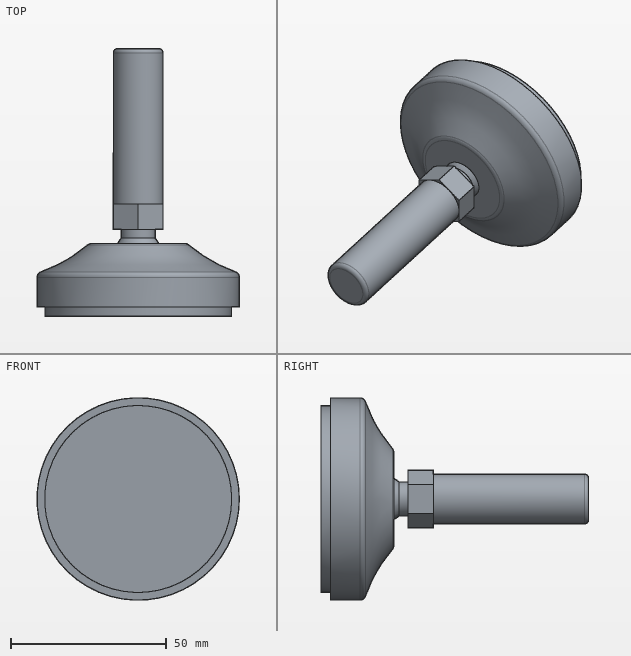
import cadquery as cq
import math

total_length = 86.0
stud_diameter = 16.0
stud_end_round = 1.4

hex_across_flats = stud_diameter
hex_start = 27.95
hex_end = 36.1

neck_diameter = 11.0
ball_diameter = 14.6
ball_center = 20.3

pad_diameter = 60.0
pad_height = 3.1
base_diameter = 65.0
rim_height = 12.55
rim_round = 1.9
rim_round_angle = 67.0

base_height = 23.5
top_flat_radius = 14.9
flank_top_radius = 16.25
flank_top_height = 23.0
flank_sag = 0.8


def along_y(start):
    """Workplane facing +Y at the given distance from the sole."""
    return cq.Workplane(cq.Plane((0, start, 0), xDir=(1, 0, 0), normal=(0, 1, 0)))


def cylinder(diameter, start, end):
    return along_y(start).circle(diameter / 2).extrude(end - start)


def make_base():
    """Revolved bell with a rounded rim and a slightly hollow flank."""
    rim_radius = base_diameter / 2

    def rim_point(angle):
        a = math.radians(angle)
        return (rim_radius - rim_round * (1 - math.cos(a)), rim_height + rim_round * math.sin(a))

    flank_start = rim_point(rim_round_angle)
    flank_end = (flank_top_radius, flank_top_height)
    run = flank_end[0] - flank_start[0]
    rise = flank_end[1] - flank_start[1]
    chord = math.hypot(run, rise)
    flank_middle = (
        (flank_start[0] + flank_end[0]) / 2 - flank_sag * rise / chord,
        (flank_start[1] + flank_end[1]) / 2 + flank_sag * run / chord,
    )
    crown_width = flank_top_radius - top_flat_radius
    crown_drop = base_height - flank_top_height
    crown_round = (crown_width**2 + crown_drop**2) / (2 * crown_drop)
    half_angle = math.asin(crown_width / crown_round) / 2
    crown_middle = (
        top_flat_radius + crown_round * math.sin(half_angle),
        base_height - crown_round * (1 - math.cos(half_angle)),
    )
    profile = (
        cq.Workplane("XY")
        .moveTo(0, pad_height)
        .lineTo(rim_radius, pad_height)
        .lineTo(rim_radius, rim_height)
        .threePointArc(rim_point(rim_round_angle / 2), flank_start)
        .threePointArc(flank_middle, flank_end)
        .threePointArc(crown_middle, (top_flat_radius, base_height))
        .lineTo(0, base_height)
        .close()
    )
    return profile.revolve(360, (0, 0, 0), (0, 1, 0))


def make_hex():
    """Wrench hexagon with two flats facing -X and +X."""
    across_corners = hex_across_flats / math.cos(math.pi / 6)
    return (
        along_y(hex_start)
        .transformed(rotate=(0, 0, 90))
        .polygon(6, across_corners)
        .extrude(hex_end - hex_start)
    )


pad = cylinder(pad_diameter, 0, pad_height)
ball = cq.Workplane("XY").sphere(ball_diameter / 2).translate((0, ball_center, 0))
neck = cylinder(neck_diameter, ball_center, hex_start)
stud = cylinder(stud_diameter, hex_end, total_length).faces(">Y").edges().fillet(stud_end_round)

result = make_base().union(pad).union(ball).union(neck).union(make_hex()).union(stud)